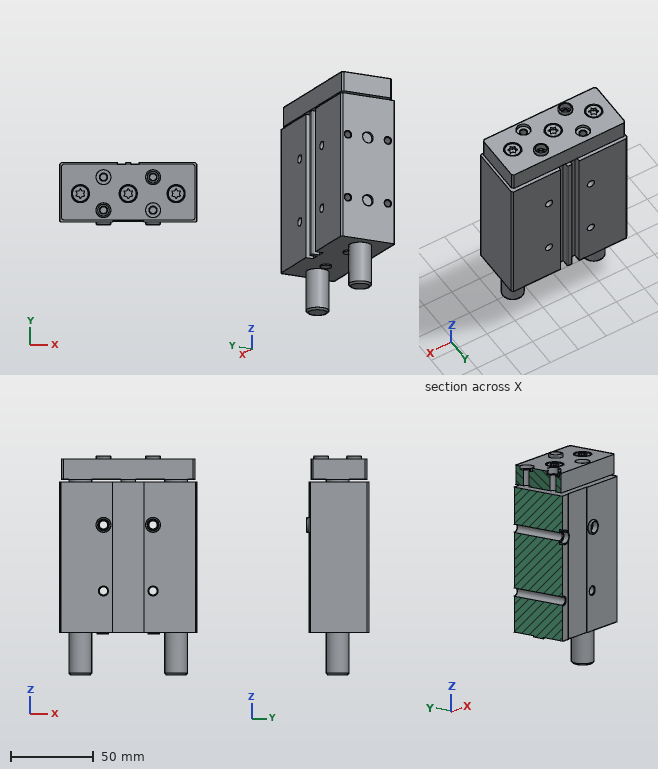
import cadquery as cq
import math


housing_width = 83.0
housing_depth = 36.3
housing_height = 91.2
housing_back_y = 19.0
housing_front_y = housing_back_y - housing_depth
front_edge_chamfer = 0.75
back_edge_chamfer = 1.2
front_band_width = 19.0
front_band_depth = 0.5

slot_pair_width = 13.2
slot_rib_width = 3.3
slot_depth = 5.0
slot_rib_fillet = 0.7

mount_spacing_x = 30.0
mount_levels = (25.2, 65.2)
mount_hole_diameter = 5.0
mount_mouth_diameter = 6.0
side_feature_y = 1.0
side_hole_spacing = 27.0
side_hole_depth = 10.0
drill_point_angle = 118.0

thread_core_diameter = 4.13
thread_mouth_diameter = 4.92

port_diameter = 7.0
port_recess = 1.7
blank_spacing = 31.0
blank_height = 0.8

plate_gap = 1.65
plate_width = 81.0
plate_depth = 33.9
plate_thickness = 12.3
plate_centre_y = 0.95
plate_edge_chamfer = 1.2
plate_bottom_z = housing_height + plate_gap
plate_top_z = plate_bottom_z + plate_thickness
rod_spacing = 58.0
rod_diameter = 14.0
rod_overhang = 25.8
rod_tip_chamfer = 1.2
plate_hole_spacing_y = 20.0

piston_rod_diameter = 9.0
piston_rod_insertion = 60.0

screw_head_diameter = 10.0
screw_head_height = 5.0
screw_head_chamfer = 0.25
screw_recess = 0.2
counterbore_diameter = 11.0
screw_shank_diameter = 5.0
screw_shank_length = 20.0
star_tip_diameter = 6.0
star_root_diameter = 3.9
star_points = 6
star_depth = 2.0

sleeve_diameter = 9.0
sleeve_bore = 7.0
front_sleeve_protrusion = 1.55
plate_sleeve_protrusion = 1.85
sleeve_seat_depth = 2.15
sleeve_rim_fillet = 0.7

mount_xs = (-mount_spacing_x / 2, mount_spacing_x / 2)
rod_xs = (-rod_spacing / 2, rod_spacing / 2)
screw_xs = (*rod_xs, 0.0)
plate_hole_ys = (-plate_hole_spacing_y / 2, plate_hole_spacing_y / 2)
plate_hole_points = [(x, y) for x in mount_xs for y in plate_hole_ys]
plate_sleeve_points = [(x, y) for x, y in plate_hole_points if x * y > 0]


def cylinder(diameter, length, start, direction):
    """Cylinder that runs from a start point along a direction."""
    return cq.Workplane(obj=cq.Solid.makeCylinder(
        diameter / 2, length, cq.Vector(*start), cq.Vector(*direction)))


def countersink(mouth_diameter, hole_diameter, start, direction):
    """45 degree cone from the mouth of a hole down to its diameter."""
    depth = (mouth_diameter - hole_diameter) / 2
    return cq.Workplane(obj=cq.Solid.makeCone(
        mouth_diameter / 2, hole_diameter / 2, depth, cq.Vector(*start), cq.Vector(*direction)))


def make_mount_hole(x, z):
    """Through hole along Y with a countersunk mouth in the front."""
    mouth = (x, housing_front_y, z)
    inward = (0, 1, 0)
    hole = cylinder(mount_hole_diameter, housing_depth, mouth, inward)
    return hole.union(countersink(mount_mouth_diameter, mount_hole_diameter, mouth, inward))


def make_side_hole(y, z):
    """Blind threaded hole in the left side with a drill point."""
    mouth = (-housing_width / 2, y, z)
    inward = (1, 0, 0)
    radius = thread_core_diameter / 2
    point_length = radius / math.tan(math.radians(drill_point_angle / 2))
    bottom = cq.Vector(side_hole_depth - housing_width / 2, y, z)
    point = cq.Solid.makeCone(radius, 0, point_length, bottom, cq.Vector(*inward))
    hole = cylinder(thread_core_diameter, side_hole_depth, mouth, inward)
    hole = hole.union(countersink(thread_mouth_diameter, thread_core_diameter, mouth, inward))
    return hole.union(cq.Workplane(obj=point))


def make_housing():
    body = (
        cq.Workplane("XY")
        .center(0, housing_back_y - housing_depth / 2)
        .rect(housing_width, housing_depth)
        .extrude(housing_height)
    )
    body = body.faces("<Y").edges("|Z").chamfer(front_edge_chamfer)
    body = body.faces(">Y").edges("|Z").chamfer(back_edge_chamfer)

    band = (
        cq.Workplane("XY")
        .center(0, housing_front_y)
        .rect(front_band_width, 2 * front_band_depth)
        .extrude(housing_height)
    )
    body = body.cut(band)

    slots = (
        cq.Workplane("XY")
        .center(0, housing_back_y)
        .rect(slot_pair_width, 2 * slot_depth)
        .extrude(housing_height)
    )
    rib = (
        cq.Workplane("XY")
        .center(0, housing_back_y - slot_depth / 2)
        .rect(slot_rib_width, slot_depth)
        .extrude(housing_height)
        .faces(">Y").edges("|Z").fillet(slot_rib_fillet)
    )
    body = body.cut(slots).union(rib)

    for x in rod_xs:
        body = body.cut(cylinder(rod_diameter, housing_height, (x, 0, 0), (0, 0, 1)))
    piston_bore_start = (0, 0, housing_height)
    body = body.cut(cylinder(piston_rod_diameter, piston_rod_insertion, piston_bore_start, (0, 0, -1)))

    for z in mount_levels:
        for x in mount_xs:
            body = body.cut(make_mount_hole(x, z))
        for side in (-1, 1):
            body = body.cut(make_side_hole(side_feature_y + side * side_hole_spacing / 2, z))
        port_start = (-housing_width / 2, side_feature_y, z)
        body = body.cut(cylinder(port_diameter, port_recess, port_start, (1, 0, 0)))

    for x in mount_xs:
        seat_start = (x, housing_front_y, max(mount_levels))
        seat_floor = (x, housing_front_y + sleeve_seat_depth, max(mount_levels))
        body = body.cut(cylinder(sleeve_diameter, sleeve_seat_depth, seat_start, (0, 1, 0)))
        body = body.cut(countersink(mount_mouth_diameter, mount_hole_diameter, seat_floor, (0, 1, 0)))

    for side in (-1, 1):
        blank_start = (side * blank_spacing / 2, side_feature_y, 0)
        body = body.union(cylinder(port_diameter, blank_height, blank_start, (0, 0, -1)))
    return body


def make_yoke():
    """End plate and guide rods, with counterbores, shank holes and sleeve seats."""
    plate = (
        cq.Workplane("XY", origin=(0, plate_centre_y, plate_bottom_z))
        .rect(plate_width, plate_depth)
        .extrude(plate_thickness)
        .edges("|Z").chamfer(plate_edge_chamfer)
    )
    for x in rod_xs:
        rod = cylinder(rod_diameter, plate_bottom_z + rod_overhang, (x, 0, -rod_overhang), (0, 0, 1))
        plate = plate.union(rod.faces("<Z").chamfer(rod_tip_chamfer))

    down = (0, 0, -1)
    screw_seat_depth = screw_recess + screw_head_height
    for x in screw_xs:
        plate = plate.cut(cylinder(counterbore_diameter, screw_seat_depth, (x, 0, plate_top_z), down))
        shank_start = (x, 0, plate_top_z - screw_seat_depth)
        plate = plate.cut(cylinder(screw_shank_diameter, screw_shank_length, shank_start, down))

    seat_floor_z = plate_top_z - sleeve_seat_depth
    for x, y in plate_hole_points:
        plate = plate.cut(cylinder(sleeve_diameter, sleeve_seat_depth, (x, y, plate_top_z), down))
        plate = plate.cut(cylinder(thread_core_diameter, plate_thickness, (x, y, plate_top_z), down))
        mouth = (x, y, seat_floor_z)
        plate = plate.cut(countersink(thread_mouth_diameter, thread_core_diameter, mouth, down))
    return plate


def make_screw(x):
    """Cylinder-head screw with a six-pointed star socket."""
    head_bottom_z = plate_top_z - screw_recess - screw_head_height
    head = cylinder(screw_head_diameter, screw_head_height, (x, 0, head_bottom_z), (0, 0, 1))
    head = head.faces(">Z").chamfer(screw_head_chamfer)
    star = []
    for i in range(2 * star_points):
        radius = (star_root_diameter if i % 2 else star_tip_diameter) / 2
        angle = math.pi / 2 + i * math.pi / star_points
        star.append((x + radius * math.cos(angle), radius * math.sin(angle)))
    socket = (
        cq.Workplane("XY", origin=(0, 0, head_bottom_z + screw_head_height - star_depth))
        .polyline(star)
        .close()
        .extrude(star_depth)
    )
    shank = cylinder(screw_shank_diameter, screw_shank_length, (x, 0, head_bottom_z), (0, 0, -1))
    return head.cut(socket).union(shank)


def make_piston_rod(screw):
    """Piston rod between the plate and the end of its bore, drilled for its screw."""
    length = plate_gap + piston_rod_insertion
    rod = cylinder(piston_rod_diameter, length, (0, 0, plate_bottom_z), (0, 0, -1))
    return rod.cut(screw)


def make_sleeve(seat_floor, outward, protrusion):
    """Centring sleeve standing on the floor of its seat, with a rounded outer rim."""
    length = sleeve_seat_depth + protrusion
    outer_end = cq.selectors.DirectionMinMaxSelector(cq.Vector(*outward))
    sleeve = cylinder(sleeve_diameter, length, seat_floor, outward)
    sleeve = sleeve.faces(outer_end).edges().fillet(sleeve_rim_fillet)
    return sleeve.cut(cylinder(sleeve_bore, length, seat_floor, outward))


housing = make_housing()
yoke = make_yoke()
screws = [make_screw(x) for x in screw_xs]
piston_rod = make_piston_rod(screws[-1])

sleeves = []
for x in mount_xs:
    front_seat_floor = (x, housing_front_y + sleeve_seat_depth, max(mount_levels))
    sleeves.append(make_sleeve(front_seat_floor, (0, -1, 0), front_sleeve_protrusion))
for x, y in plate_sleeve_points:
    plate_seat_floor = (x, y, plate_top_z - sleeve_seat_depth)
    sleeves.append(make_sleeve(plate_seat_floor, (0, 0, 1), plate_sleeve_protrusion))

result = cq.Compound.makeCompound([
    housing.val(),
    yoke.val(),
    piston_rod.val(),
    *[screw.val() for screw in screws],
    *[sleeve.val() for sleeve in sleeves],
])